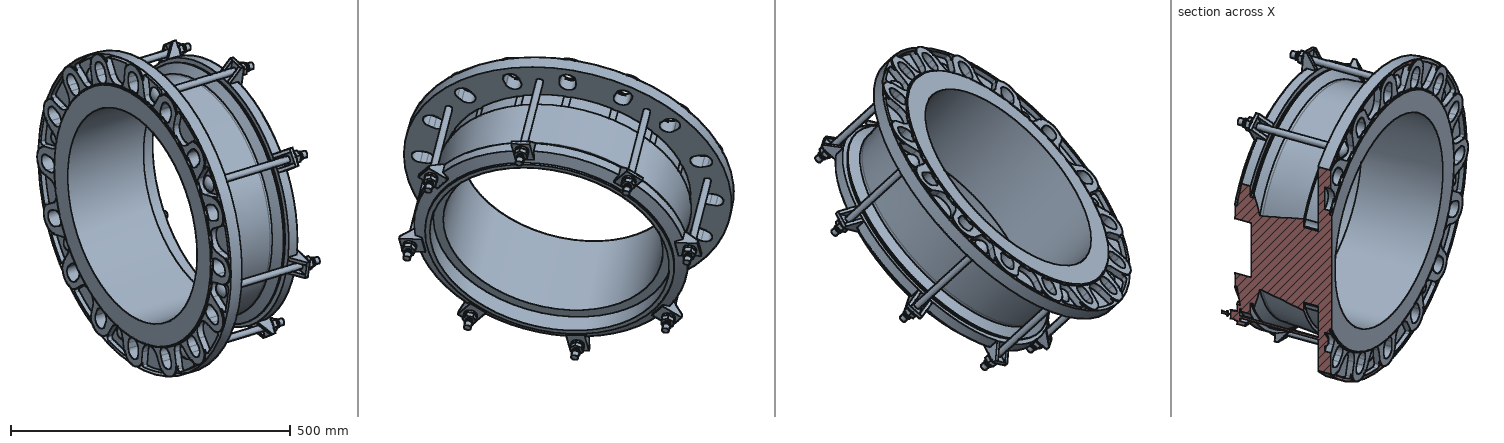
import cadquery as cq
import math


FACE_RING_BACK = 2.0
FACE_GROOVE_FLOOR = 5.0
RIM_FRONT = 5.0
FLANGE_BACK = 28.8
NECK_BACK = 58.0
SOCKET_FRONT = 166.0
BARREL_BACK = 142.5
FLARE_START = 147.5
FLARE_END = 159.7
FLARE_RIM_BACK = 161.9
CLAMP_FRONT = 166.4
CLAMP_EDGE_BACK = 185.6
CLAMP_CONE_BACK = 194.6
CLAMP_BACK = 198.9
BOLT_END = 226.0

BORE_RADIUS = 400 / 2
SOCKET_RADIUS = 436 / 2
FACE_RING_RADIUS = 484 / 2
FACE_GROOVE_RADIUS = FACE_RING_RADIUS + 1.8
FLANGE_RADIUS = 597 / 2
RIM_INNER_RADIUS = 281.0
NECK_RADIUS = 449 / 2
BARREL_FRONT_RADIUS = 231.0
FLARE_RADIUS = 484 / 2
GAP_RADIUS = 238.0
CLAMP_RADIUS = 249.0
CLAMP_BACK_RADIUS = 227.0

SLOT_COUNT = 16
SLOT_WIDTH = 30.0
SLOT_INNER_CENTRE = 258.0
SLOT_OUTER_CENTRE = 269.0
PAD_RADIUS = 29.0
NECK_GROOVE_RADIUS = SLOT_WIDTH / 2
NECK_GROOVE_CENTRE = 238.0

POCKET_FLOOR = 15.0
POCKET_OUTER_RADIUS = 292.0
BOLT_POCKET_CENTRE = 260.0
BOLT_POCKET_RADIUS = 17.0
BOLT_POCKET_HALF_ANGLE = 22.6
BOLT_POCKET_FILLET = 5.0
OPEN_POCKET_CENTRE = 267.0
OPEN_POCKET_RADIUS = 24.0
OPEN_POCKET_HALF_ANGLE = 18.0
OPEN_POCKET_FILLET = 3.0

BOLT_COUNT = 8
BOLT_CIRCLE_RADIUS = 260.0
FIRST_BOLT_ANGLE = 360 / SLOT_COUNT / 2
BOLT_DIAMETER = 13.0
BOLT_NECK_DIAMETER = 12.0
BOLT_HEAD_DIAMETER = 30.0
BOLT_HEAD_HEIGHT = 9.0
BOLT_HEAD_DOME_RADIUS = ((BOLT_HEAD_DIAMETER / 2) ** 2 + BOLT_HEAD_HEIGHT**2) / (2 * BOLT_HEAD_HEIGHT)
WASHER_DIAMETER = 24.0
WASHER_BACK = CLAMP_BACK + 0.5
NUT_ACROSS_CORNERS = 24.8
NUT_TURN = 30.0
NUT_BACK = 208.0
COLLAR_DIAMETER = 16.0
COLLAR_FRONT = 213.2
COLLAR_BACK = 215.2

BRACKET_WIDTH = 34.5
BRACKET_TOP_RADIUS = 277.0
BRACKET_ROOT_RADIUS = 235.0
BRACKET_PLATE_FRONT = 188.0
BRACKET_WALL = 7.0


def spin(shape, angle):
    """Turn a shape made at +Z by an angle from +Z towards +X."""
    return shape.rotate((0, 0, 0), (0, 1, 0), angle)


def plane_at(y):
    """Sketch plane at station y; local x is +X, local y is +Z, extrusion by a negative length goes to +Y."""
    return cq.Workplane("XZ", origin=(0, y, 0))


def disc_along_y(x, z, diameter, start, end):
    return plane_at(start).center(x, z).circle(diameter / 2).extrude(start - end)


def make_body():
    profile = [
        (BORE_RADIUS, 0),
        (FACE_RING_RADIUS, 0),
        (FACE_RING_RADIUS, FACE_GROOVE_FLOOR),
        (FACE_GROOVE_RADIUS, FACE_GROOVE_FLOOR),
        (FACE_GROOVE_RADIUS, FACE_RING_BACK),
        (FLANGE_RADIUS, FACE_RING_BACK),
        (FLANGE_RADIUS, FLANGE_BACK),
        (NECK_RADIUS, FLANGE_BACK),
        (NECK_RADIUS, NECK_BACK),
        (BARREL_FRONT_RADIUS, NECK_BACK),
        (NECK_RADIUS, BARREL_BACK),
        (NECK_RADIUS, FLARE_START),
        (FLARE_RADIUS, FLARE_END),
        (FLARE_RADIUS, FLARE_RIM_BACK),
        (GAP_RADIUS, FLARE_RIM_BACK),
        (GAP_RADIUS, CLAMP_FRONT),
        (CLAMP_RADIUS, CLAMP_FRONT),
        (CLAMP_RADIUS, CLAMP_EDGE_BACK),
        (CLAMP_BACK_RADIUS, CLAMP_CONE_BACK),
        (CLAMP_BACK_RADIUS, CLAMP_BACK),
        (SOCKET_RADIUS, CLAMP_BACK),
        (SOCKET_RADIUS, SOCKET_FRONT),
        (BORE_RADIUS, SOCKET_FRONT),
    ]
    return cq.Workplane("XY").polyline(profile).close().revolve(360, (0, 0, 0), (0, 1, 0))


def cut_neck_grooves(body):
    groove = disc_along_y(0, NECK_GROOVE_CENTRE, 2 * NECK_GROOVE_RADIUS, FLANGE_BACK, NECK_BACK)
    for index in range(SLOT_COUNT):
        body = body.cut(spin(groove, index * 360 / SLOT_COUNT))
    return body


def radial_slot(width, inner, outer, start, end):
    middle = (inner + outer) / 2
    length = outer - inner + width
    return plane_at(start).center(0, middle).slot2D(length, width, 90).extrude(start - end)


def cut_rim(body):
    """Set the outer rim back, leaving the pads around the slots standing."""
    rim = (
        plane_at(FACE_RING_BACK)
        .circle(FLANGE_RADIUS + 1)
        .circle(RIM_INNER_RADIUS)
        .extrude(FACE_RING_BACK - RIM_FRONT)
    )
    pad = radial_slot(2 * PAD_RADIUS, SLOT_INNER_CENTRE, SLOT_OUTER_CENTRE, FACE_RING_BACK, RIM_FRONT)
    for index in range(SLOT_COUNT):
        rim = rim.cut(spin(pad, index * 360 / SLOT_COUNT))
    return body.cut(rim)


def make_pocket(centre, radius, half_angle, corner_fillet):
    """Pocket at +Z: a round bottom with tangent sides that spread to the outer arc."""
    slope = math.radians(half_angle)
    side_x = radius * math.cos(slope)
    side_z = centre - radius * math.sin(slope)
    outer_z = FLANGE_RADIUS
    outer_x = side_x + (outer_z - side_z) * math.tan(slope)
    wedge = (
        plane_at(0)
        .moveTo(-side_x, side_z)
        .threePointArc((0, centre - radius), (side_x, side_z))
        .lineTo(outer_x, outer_z)
        .lineTo(-outer_x, outer_z)
        .close()
        .extrude(-POCKET_FLOOR)
    )
    pocket = wedge.intersect(plane_at(0).circle(POCKET_OUTER_RADIUS).extrude(-POCKET_FLOOR))
    outer_corners = cq.selectors.BoxSelector((-outer_x, 0, centre), (outer_x, POCKET_FLOOR, outer_z))
    return pocket.edges("|Y").edges(outer_corners).fillet(corner_fillet)


def cut_flange(body):
    """Cut the through slots and the two kinds of pockets between them."""
    slot = radial_slot(SLOT_WIDTH, SLOT_INNER_CENTRE, SLOT_OUTER_CENTRE, FACE_RING_BACK, FLANGE_BACK)
    for index in range(SLOT_COUNT):
        body = body.cut(spin(slot, index * 360 / SLOT_COUNT))
    bolt_pocket = make_pocket(
        BOLT_POCKET_CENTRE, BOLT_POCKET_RADIUS, BOLT_POCKET_HALF_ANGLE, BOLT_POCKET_FILLET
    )
    open_pocket = make_pocket(
        OPEN_POCKET_CENTRE, OPEN_POCKET_RADIUS, OPEN_POCKET_HALF_ANGLE, OPEN_POCKET_FILLET
    )
    for index in range(BOLT_COUNT):
        angle = FIRST_BOLT_ANGLE + index * 360 / BOLT_COUNT
        body = body.cut(spin(bolt_pocket, angle))
        body = body.cut(spin(open_pocket, angle + 180 / BOLT_COUNT))
    return body


def make_bracket():
    """Bracket at +Z: a back plate with a sloping wall down each side."""
    side = [
        (CLAMP_FRONT, BRACKET_ROOT_RADIUS),
        (CLAMP_FRONT, CLAMP_RADIUS),
        (BRACKET_PLATE_FRONT, BRACKET_TOP_RADIUS),
        (CLAMP_CONE_BACK, BRACKET_TOP_RADIUS),
        (CLAMP_CONE_BACK, BRACKET_ROOT_RADIUS),
    ]
    block = cq.Workplane("YZ").polyline(side).close().extrude(BRACKET_WIDTH / 2, both=True)
    hollow_height = BRACKET_TOP_RADIUS - BRACKET_ROOT_RADIUS
    hollow = cq.Workplane("XY").box(
        BRACKET_WIDTH - 2 * BRACKET_WALL, BRACKET_PLATE_FRONT - CLAMP_FRONT, hollow_height
    )
    hollow_y = (BRACKET_PLATE_FRONT + CLAMP_FRONT) / 2
    hollow_z = (BRACKET_TOP_RADIUS + BRACKET_ROOT_RADIUS) / 2
    return block.cut(hollow.translate((0, hollow_y, hollow_z)))


def make_bolt():
    """Bolt at +Z: domed head, rod, washer, nut, collar and end cap."""
    z = BOLT_CIRCLE_RADIUS
    ball = cq.Workplane("XY").sphere(BOLT_HEAD_DOME_RADIUS)
    ball = ball.translate((0, POCKET_FLOOR - BOLT_HEAD_HEIGHT + BOLT_HEAD_DOME_RADIUS, z))
    dome = ball.intersect(disc_along_y(0, z, 2 * BOLT_HEAD_DIAMETER, 0, POCKET_FLOOR))
    nut = plane_at(CLAMP_CONE_BACK).center(0, z).polygon(6, NUT_ACROSS_CORNERS)
    nut = nut.extrude(CLAMP_CONE_BACK - NUT_BACK).rotate((0, 0, z), (0, 1, z), NUT_TURN)
    bolt = dome.union(disc_along_y(0, z, BOLT_DIAMETER, POCKET_FLOOR, NUT_BACK))
    bolt = bolt.union(disc_along_y(0, z, WASHER_DIAMETER, CLAMP_CONE_BACK, WASHER_BACK))
    bolt = bolt.union(nut)
    bolt = bolt.union(disc_along_y(0, z, BOLT_NECK_DIAMETER, NUT_BACK, COLLAR_FRONT))
    bolt = bolt.union(disc_along_y(0, z, COLLAR_DIAMETER, COLLAR_FRONT, COLLAR_BACK))
    return bolt.union(disc_along_y(0, z, BOLT_DIAMETER, COLLAR_BACK, BOLT_END))


def add_clamps(body):
    clamp = make_bracket().union(make_bolt())
    for index in range(BOLT_COUNT):
        body = body.union(spin(clamp, FIRST_BOLT_ANGLE + index * 360 / BOLT_COUNT))
    return body


result = add_clamps(cut_flange(cut_rim(cut_neck_grooves(make_body()))))